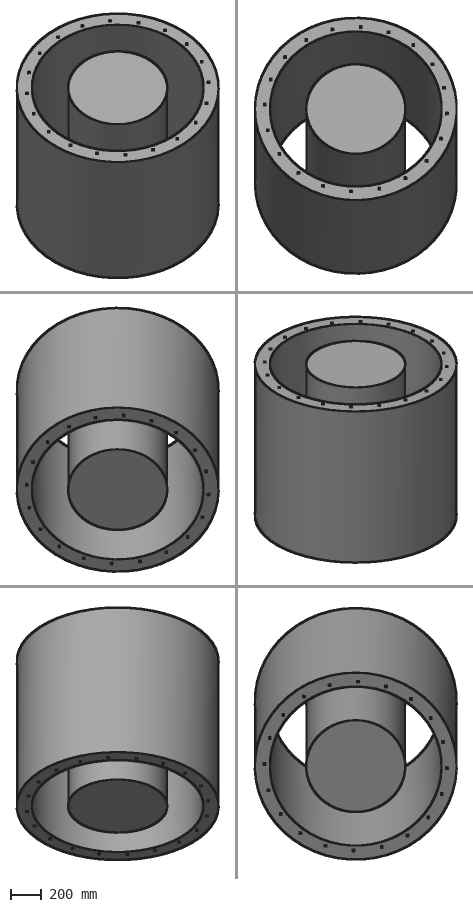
import cadquery as cq

height = 1120.0

rim_flare = 2.0

ring_diameter = 1320.0
bore_diameter = 1120.0

core_diameter = 650.0

hole_count = 20
hole_diameter = 12.0
hole_circle_diameter = 1190.0
first_hole_angle = 360 / hole_count / 2


def make_round(rim_diameter, wall_offset):
    """Solid of revolution about Z, its wall offset radially from the two end rims."""
    rim_radius = rim_diameter / 2
    wall_radius = rim_radius + wall_offset
    half_section = [
        (0, 0),
        (rim_radius, 0),
        (wall_radius, rim_flare),
        (wall_radius, height - rim_flare),
        (rim_radius, height),
        (0, height),
    ]
    return (
        cq.Workplane("XZ")
        .polyline(half_section)
        .close()
        .revolve(360, (0, 0, 0), (0, 1, 0))
    )


def make_hole_cutters():
    """Evenly spaced circle of cylinders that cut the through holes."""
    return (
        cq.Workplane("XY")
        .polarArray(hole_circle_diameter / 2, first_hole_angle, 360, hole_count)
        .circle(hole_diameter / 2)
        .extrude(height)
    )


def make_ring():
    """Tube with flared outer rims, a bore that narrows at its rims, and through holes."""
    outside = make_round(ring_diameter, -rim_flare)
    bore = make_round(bore_diameter, rim_flare)
    return outside.cut(bore).cut(make_hole_cutters())


def make_core():
    """Solid cylinder with flared rims."""
    return make_round(core_diameter, -rim_flare)


ring = make_ring()
core = make_core()

result = cq.Compound.makeCompound([ring.val(), core.val()])